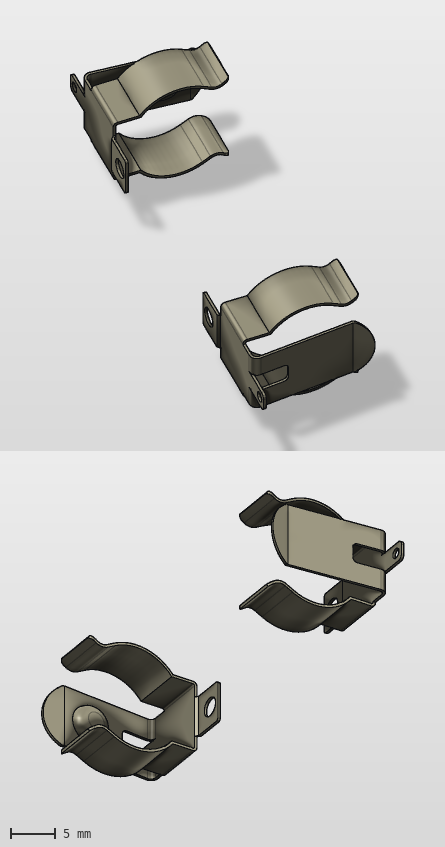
import cadquery as cq
import math


SPAN = 55.25
SHEET = 0.35
END_X = -SPAN / 2

STRAP_X = -21.7
STRAP_WIDTH = 6.35
STRAP_END_X = STRAP_X + STRAP_WIDTH
LEG_Z = 4.55
LEG_BEND_RADIUS = 0.55
GRIP_Z = 6.85
GRIP_Y = 8.05
GRIP_RADIUS = 6.25
FLANK_ANGLE = 28.0
LIP_ANGLE = 33.0
LIP_VALLEY_RADIUS = 1.2
LIP_VALLEY_Y = 12.55
LIP_TIP_Y = 14.25
LIP_CORNER_RADIUS = 0.65

TAIL_WIDTH = 2.5
TAIL_CORNER_RADIUS = 0.6
TAIL_HOLE_DIAMETER = 1.2
TAIL_HOLE_X = END_X + 1.15
SLOT_END_Y = 4.55

BLADE_WIDTH = 7.8
BLADE_BEND_X = END_X + 4.15
BLADE_BEND_RADIUS = 0.95
BLADE_LEAN = 5.0
TIP_LEAN = -15.0
KINK_Y = 12.65
BLADE_TIP_Y = 15.1
BLADE_TIP_RADIUS = 4.6

BUTTON_DIAMETER = 4.75
BUTTON_HEIGHT = 1.25
BUTTON_Y = 9.15

TAB_WIDTH = 5.15
TAB_END_X = -11.05
TAB_STEP_LENGTH = 0.35
TAB_CORNER_RADIUS = 0.35
TAB_HOLE_DIAMETER = 2.3
TAB_HOLE_X = -12.7


def polar(center, radius, degrees):
    """Point at a radius and angle from a center."""
    angle = math.radians(degrees)
    return (center[0] + radius * math.cos(angle), center[1] + radius * math.sin(angle))


def box(x_min, x_max, y_min, y_max, width):
    """Block between X and Y limits, centered on Z = 0."""
    base = cq.Workplane("XY", origin=(x_min, y_min, -width / 2))
    return base.rect(x_max - x_min, y_max - y_min, centered=False).extrude(width)


def hole(x, diameter):
    """Cutter along Y for a round hole through the base plate or the stepped tab."""
    return cq.Workplane("XZ", origin=(x, 0, 0)).circle(diameter / 2).extrude(2 * SHEET, both=True)


def grip_face(depth):
    """Points (Y, Z) of one face of the upper gripping leg, a given depth below its outer face."""
    leg_z = LEG_Z - depth
    grip_center = (GRIP_Y, GRIP_Z - GRIP_RADIUS)
    grip_radius = GRIP_RADIUS - depth
    start_angle = 180 - math.degrees(math.asin((leg_z - grip_center[1]) / grip_radius))
    grip_end_angle = 90 - FLANK_ANGLE

    flank = math.radians(FLANK_ANGLE)
    center_rise = GRIP_RADIUS + LIP_VALLEY_RADIUS
    valley_center = (
        LIP_VALLEY_Y,
        grip_center[1] + (center_rise - (LIP_VALLEY_Y - GRIP_Y) * math.sin(flank)) / math.cos(flank),
    )
    valley_radius = LIP_VALLEY_RADIUS + depth
    lip_start = polar(valley_center, valley_radius, LIP_ANGLE - 90)

    lip = math.radians(LIP_ANGLE)
    tip_y = LIP_TIP_Y - (SHEET - depth) * math.sin(lip)
    tip_z = lip_start[1] + (tip_y - lip_start[0]) * math.tan(lip)
    return {
        "grip_start": polar(grip_center, grip_radius, start_angle),
        "grip_middle": polar(grip_center, grip_radius, (start_angle + grip_end_angle) / 2),
        "grip_end": polar(grip_center, grip_radius, grip_end_angle),
        "valley_start": polar(valley_center, valley_radius, -90 - FLANK_ANGLE),
        "valley_middle": polar(valley_center, valley_radius, -90),
        "lip_start": lip_start,
        "tip": (tip_y, tip_z),
    }


def half_strap():
    """Upper half of the strap: half the base plate, the bend and one gripping leg."""
    outer = grip_face(0)
    inner = grip_face(SHEET)
    bend_center = (LEG_BEND_RADIUS, LEG_Z - LEG_BEND_RADIUS)
    inner_bend_radius = LEG_BEND_RADIUS - SHEET
    profile = (
        cq.Workplane("YZ", origin=(STRAP_X, 0, 0))
        .moveTo(0, 0)
        .lineTo(0, bend_center[1])
        .threePointArc(polar(bend_center, LEG_BEND_RADIUS, 135), (bend_center[0], LEG_Z))
        .lineTo(*outer["grip_start"])
        .threePointArc(outer["grip_middle"], outer["grip_end"])
        .lineTo(*outer["valley_start"])
        .threePointArc(outer["valley_middle"], outer["lip_start"])
        .lineTo(*outer["tip"])
        .lineTo(*inner["tip"])
        .lineTo(*inner["lip_start"])
        .threePointArc(inner["valley_middle"], inner["valley_start"])
        .lineTo(*inner["grip_end"])
        .threePointArc(inner["grip_middle"], inner["grip_start"])
        .lineTo(bend_center[0], LEG_Z - SHEET)
        .threePointArc(polar(bend_center, inner_bend_radius, 135), (SHEET, bend_center[1]))
        .lineTo(SHEET, 0)
        .close()
    )
    return profile.extrude(STRAP_WIDTH)


def strap():
    """Whole strap, with the lip corners rounded in plan."""
    upper = half_strap()
    plan = box(STRAP_X, STRAP_END_X, 0, LIP_TIP_Y, 2 * GRIP_Z).edges("|Z and >Y").fillet(LIP_CORNER_RADIUS)
    return upper.union(upper.mirror("XY")).intersect(plan)


def blade_face(depth):
    """Points (X, Y) of one face of the blade, a given depth in from its outer face."""
    lean = math.radians(BLADE_LEAN)
    tip_lean = math.radians(TIP_LEAN)
    bend_center = (BLADE_BEND_X, BLADE_BEND_RADIUS)
    bend_radius = BLADE_BEND_RADIUS - depth
    outer_end = polar(bend_center, BLADE_BEND_RADIUS, 180 - BLADE_LEAN)
    outer_kink_x = outer_end[0] + (KINK_Y - outer_end[1]) * math.tan(lean)
    miter = depth / math.cos((lean - tip_lean) / 2)
    kink = polar((outer_kink_x, KINK_Y), miter, -(BLADE_LEAN + TIP_LEAN) / 2)
    return {
        "bend_start": (BLADE_BEND_X, depth),
        "bend_middle": polar(bend_center, bend_radius, 225 - BLADE_LEAN / 2),
        "bend_end": polar(bend_center, bend_radius, 180 - BLADE_LEAN),
        "kink": kink,
        "tip": (kink[0] + (BLADE_TIP_Y - kink[1]) * math.tan(tip_lean), BLADE_TIP_Y),
    }


def blade():
    """Leaning contact blade with a rounded tip and the slot left by the solder tail."""
    outer = blade_face(0)
    inner = blade_face(SHEET)
    strip = (
        cq.Workplane("XY", origin=(0, 0, -BLADE_WIDTH / 2))
        .moveTo(STRAP_X, 0)
        .lineTo(*outer["bend_start"])
        .threePointArc(outer["bend_middle"], outer["bend_end"])
        .lineTo(*outer["kink"])
        .lineTo(*outer["tip"])
        .lineTo(*inner["tip"])
        .lineTo(*inner["kink"])
        .lineTo(*inner["bend_end"])
        .threePointArc(inner["bend_middle"], inner["bend_start"])
        .lineTo(STRAP_X, SHEET)
        .close()
        .extrude(BLADE_WIDTH)
    )
    half_width = BLADE_WIDTH / 2
    shoulder_y = BLADE_TIP_Y - BLADE_TIP_RADIUS + math.sqrt(BLADE_TIP_RADIUS**2 - half_width**2)
    outline = (
        cq.Workplane("YZ", origin=(END_X, 0, 0))
        .moveTo(0, -half_width)
        .lineTo(shoulder_y, -half_width)
        .threePointArc((BLADE_TIP_Y, 0), (shoulder_y, half_width))
        .lineTo(0, half_width)
        .close()
        .extrude(STRAP_X - END_X)
    )
    slot = box(END_X, BLADE_BEND_X, 0, SLOT_END_Y, TAIL_WIDTH).edges("|X and >Y").fillet(TAIL_CORNER_RADIUS)
    return strip.intersect(outline).cut(slot)


def solder_tail():
    """Flat tail in the plane of the base plate, with a wire hole."""
    tail = box(END_X, BLADE_BEND_X, 0, SHEET, TAIL_WIDTH).edges("|Y and <X").fillet(TAIL_CORNER_RADIUS)
    return tail.cut(hole(TAIL_HOLE_X, TAIL_HOLE_DIAMETER))


def button():
    """Rounded contact button standing on the inner face of the blade."""
    root = blade_face(SHEET)["bend_end"]
    lean = math.radians(BLADE_LEAN)
    root_x = root[0] + (BUTTON_Y - root[1]) * math.tan(lean)
    root_center = (root_x, BUTTON_Y, 0)
    along_blade = (math.sin(lean), math.cos(lean), 0)
    flat_radius = BUTTON_DIAMETER / 2 - BUTTON_HEIGHT
    half_section = (
        cq.Workplane(cq.Plane(origin=root_center, xDir=along_blade, normal=(0, 0, -1)))
        .lineTo(BUTTON_DIAMETER / 2, 0)
        .threePointArc(polar((flat_radius, 0), BUTTON_HEIGHT, 45), (flat_radius, BUTTON_HEIGHT))
        .lineTo(0, BUTTON_HEIGHT)
        .close()
    )
    return half_section.revolve(360, (0, 0), (0, 1))


def mounting_tab():
    """Tab stepped outward from the base plate, with a mounting hole."""
    step_end_x = STRAP_END_X + TAB_STEP_LENGTH
    tab = (
        cq.Workplane("XY", origin=(0, 0, -TAB_WIDTH / 2))
        .polyline(
            [
                (STRAP_END_X, 0),
                (step_end_x, -SHEET),
                (TAB_END_X, -SHEET),
                (TAB_END_X, 0),
                (step_end_x, 0),
                (STRAP_END_X, SHEET),
            ]
        )
        .close()
        .extrude(TAB_WIDTH)
        .edges("|Y and >X")
        .fillet(TAB_CORNER_RADIUS)
    )
    return tab.cut(hole(TAB_HOLE_X, TAB_HOLE_DIAMETER))


def contact_clip():
    """The clip on the -X side, folded from one sheet."""
    return strap().union(blade()).union(solder_tail()).union(button()).union(mounting_tab())


left_clip = contact_clip()
right_clip = left_clip.mirror("YZ")

result = cq.Compound.makeCompound([left_clip.val(), right_clip.val()])